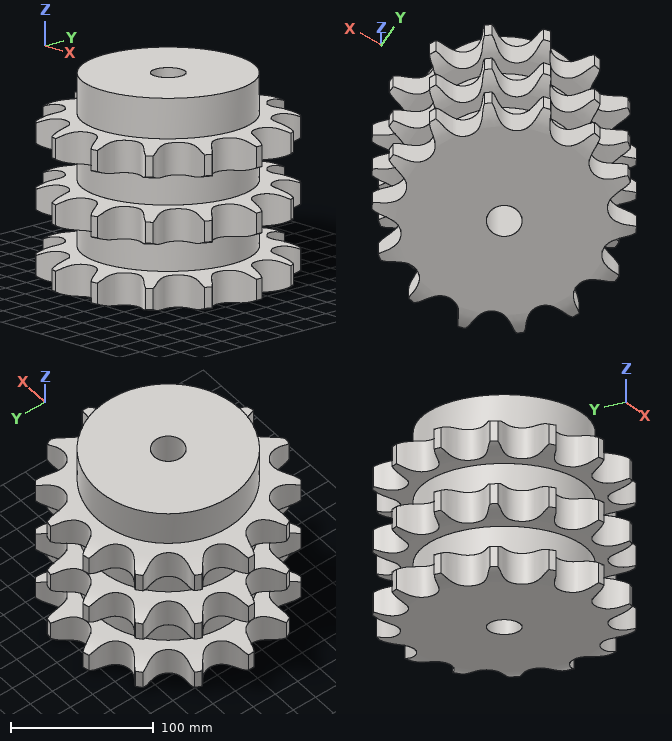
import cadquery as cq
import math


tooth_count = 14
chain_pitch = 38.2
roller_diameter = 25.3
roller_clearance = 0.04
outer_radius = 186.2 / 2
pitch_radius = chain_pitch / (2 * math.sin(math.pi / tooth_count))

seat_angle = math.radians(35 + 60 / tooth_count)
working_angle = math.radians(18 - 56 / tooth_count)
topping_angle = math.radians(17 - 64 / tooth_count)
working_offset = 0.8 * roller_diameter
topping_offset = 1.4 * roller_diameter
seat_radius = 0.5025 * roller_diameter + roller_clearance
working_radius = working_offset + seat_radius
straight_length = topping_offset * math.sin(topping_angle) - working_offset * math.sin(working_angle)
topping_radius = (
    topping_offset * math.cos(topping_angle)
    + working_offset * math.cos(working_angle)
    - working_radius
)

tooth_width = 23.6
side_round_radius = chain_pitch
side_round_start = 75.8

strand_count = 3
strand_spacing = 48.5
total_height = 150.0
hub_diameter = 128.0
bore_diameter = 25.0

gap_step = 2 * math.pi / tooth_count


def polar(radius, angle):
    return (radius * math.cos(angle), radius * math.sin(angle))


def step(point, distance, angle):
    dx, dy = polar(distance, angle)
    return (point[0] + dx, point[1] + dy)


def flank_points():
    """Points of one flank from the roller seat to the tooth tip, for a tooth gap centred on +X.

    Neighbouring stretches are tangent, so each centre lies on the normal at the shared end.
    """
    seat_centre = (pitch_radius, 0)
    seat_normal = math.pi / 2 + seat_angle
    working_normal = seat_normal - working_angle

    seat_end = step(seat_centre, seat_radius, seat_normal)
    working_centre = step(seat_centre, -working_offset, seat_normal)
    working_middle = step(working_centre, working_radius, seat_normal - working_angle / 2)
    working_end = step(working_centre, working_radius, working_normal)
    straight_end = step(working_end, straight_length, working_normal - math.pi / 2)
    topping_centre = step(straight_end, topping_radius, working_normal)

    reach = math.hypot(*topping_centre)
    corner_cosine = (outer_radius**2 + reach**2 - topping_radius**2) / (2 * outer_radius * reach)
    centre_angle = math.atan2(topping_centre[1], topping_centre[0])
    tip = polar(outer_radius, centre_angle - math.acos(corner_cosine))

    start_angle = math.atan2(straight_end[1] - topping_centre[1], straight_end[0] - topping_centre[0])
    end_angle = math.atan2(tip[1] - topping_centre[1], tip[0] - topping_centre[0])
    sweep = math.remainder(end_angle - start_angle, 2 * math.pi)
    topping_middle = step(topping_centre, topping_radius, start_angle + sweep / 2)

    return [seat_end, working_middle, working_end, straight_end, topping_middle, tip]


def tooth_outline():
    """Closed sprocket outline with a tooth centred on +X."""
    left_flank = flank_points()
    right_flank = [(x, -y) for x, y in left_flank]
    root = (pitch_radius - seat_radius, 0)

    def turned(points, angle):
        return [polar(math.hypot(x, y), math.atan2(y, x) + angle) for x, y in points]

    first_gap = gap_step / 2
    outline = cq.Workplane("XY").moveTo(*turned(right_flank, first_gap)[-1])
    for index in range(tooth_count):
        gap = first_gap + index * gap_step
        seat_start, down_working, down_straight, down_topping_end, down_topping, _ = turned(right_flank, gap)
        seat_end, up_working, up_straight, up_topping_start, up_topping, tip = turned(left_flank, gap)
        next_tip = turned(right_flank, gap + gap_step)[-1]
        outline = (
            outline
            .threePointArc(down_topping, down_topping_end)
            .lineTo(*down_straight)
            .threePointArc(down_working, seat_start)
            .threePointArc(turned([root], gap)[0], seat_end)
            .threePointArc(up_working, up_straight)
            .lineTo(*up_topping_start)
            .threePointArc(up_topping, tip)
            .threePointArc(polar(outer_radius, gap + gap_step / 2), next_tip)
        )
    return outline.close()


def side_rounded_disc():
    """Disc whose two faces curve towards each other near the rim."""
    def drop(run):
        return side_round_radius - math.sqrt(side_round_radius**2 - run**2)

    run = outer_radius - side_round_start
    middle_radius = side_round_start + run / 2
    rim_drop = drop(run)
    middle_drop = drop(run / 2)
    return (
        cq.Workplane("XZ")
        .lineTo(side_round_start, 0)
        .threePointArc((middle_radius, middle_drop), (outer_radius, rim_drop))
        .lineTo(outer_radius, tooth_width - rim_drop)
        .threePointArc((middle_radius, tooth_width - middle_drop), (side_round_start, tooth_width))
        .lineTo(0, tooth_width)
        .close()
        .revolve(360, (0, 0, 0), (0, 1, 0))
    )


strand = tooth_outline().extrude(tooth_width).intersect(side_rounded_disc())

body = cq.Workplane("XY").circle(hub_diameter / 2).extrude(total_height)
for strand_index in range(strand_count):
    body = body.union(strand.translate((0, 0, strand_index * strand_spacing)))

bore = cq.Workplane("XY").circle(bore_diameter / 2).extrude(total_height)
result = body.cut(bore)